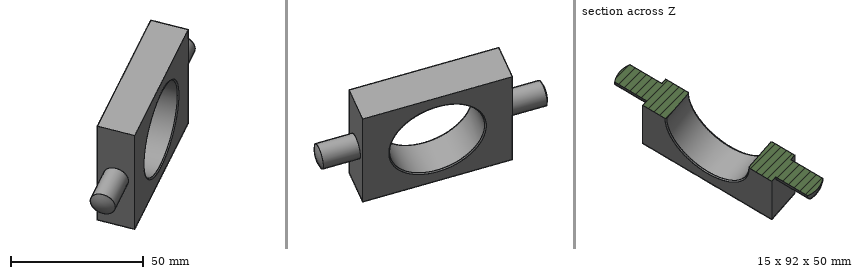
import cadquery as cq

block_thickness = 15.0
block_width = 60.0
block_height = 50.0

bore_diameter = 38.1
bore_chamfer = 0.5

overall_length = 92.0
pin_diameter = 10.0
dome_height = 1.2

pin_radius = pin_diameter / 2
tip = overall_length / 2
shoulder = tip - dome_height
dome_radius = (pin_radius**2 + dome_height**2) / (2 * dome_height)


def make_block():
    """Rectangular block with a bore chamfered at both mouths."""
    block = cq.Workplane("XY").box(block_thickness, block_width, block_height)
    block = block.faces("<X").workplane().hole(bore_diameter)
    return block.edges("%CIRCLE").chamfer(bore_chamfer)


def make_pin(side):
    """Domed pin on the +Y (side = 1) or -Y (side = -1) face of the block."""
    root = block_width / 2
    mid_radius = pin_radius / 2
    mid_y = tip - dome_radius + (dome_radius**2 - mid_radius**2) ** 0.5
    profile = (
        cq.Workplane("XY")
        .moveTo(0, side * root)
        .lineTo(pin_radius, side * root)
        .lineTo(pin_radius, side * shoulder)
        .threePointArc((mid_radius, side * mid_y), (0, side * tip))
        .close()
    )
    return profile.revolve(360, (0, 0, 0), (0, 1, 0))


result = make_block()
for side in (-1, 1):
    result = result.union(make_pin(side))